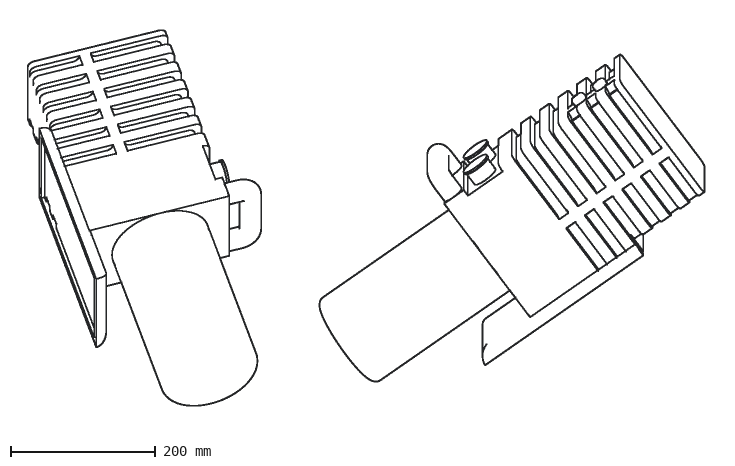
import cadquery as cq

overall_length = 540.0

flange_length = 270.0
flange_height = 160.0
flange_thickness = 20.0
flange_start = 119.5
pocket_depth = 5.0

body_length = 300.0
body_depth = 200.0
body_height = 140.0
body_front = flange_thickness
body_back = body_front + body_depth
body_top = body_height / 2
body_mid_y = body_front + body_depth / 2

skin = (flange_height - body_height) / 2
core_top = body_top - skin
core_back = body_back - skin

slot_count = 6
slot_start = 9.5
slot_width = 15.5
slot_pitch = 32.0
spine_mid_y = 100.0
spine_width = 16.0

panel_mid_x = slot_start + slot_pitch + slot_width / 2
panel_length = 88.0
panel_height = 21.5
panel_corner = skin
footing_margin = 1.0
knob_diameter = 20.0
knob_height = 9.5
knob_rounding = 5.0
knob_spacing = 35.5
knob_z = -33.0

recess_start = 207.5
recess_end = 267.0
socket_x = 237.5
socket_z = 35.0
socket_diameter = 36.0
socket_height = 20.0
cap_diameter = 40.0
cap_thickness = 3.0

handle_diameter = 30.0
handle_rise = 50.0
handle_inner_bend = 0.25

barrel_rounding = skin


def block(x_range, y_range, z_range):
    """Axis-aligned box between the given limits."""
    (x0, x1), (y0, y1), (z0, z1) = x_range, y_range, z_range
    return cq.Workplane("XY").box(x1 - x0, y1 - y0, z1 - z0, centered=False).translate((x0, y0, z0))


def back_cylinder(x, y, z, diameter, height):
    """Cylinder standing on the plane at y and pointing toward +Y."""
    return cq.Workplane("XZ", origin=(x, y, z)).circle(diameter / 2).extrude(-height)


def make_flange():
    """Plate with its long back edges and its +X end rounded over the full thickness."""
    edge = flange_height / 2
    flange_end = flange_start + flange_length
    r = flange_thickness
    diagonal = r * 0.5 ** 0.5
    cross_section = (
        cq.Workplane("YZ", origin=(flange_start, 0, 0))
        .moveTo(0, -edge)
        .lineTo(0, edge)
        .threePointArc((diagonal, edge - r + diagonal), (r, edge - r))
        .lineTo(r, r - edge)
        .threePointArc((diagonal, r - diagonal - edge), (0, -edge))
        .close()
        .extrude(flange_length)
    )
    long_section = (
        cq.Workplane("XY", origin=(0, 0, -edge))
        .moveTo(flange_start, 0)
        .lineTo(flange_end, 0)
        .threePointArc((flange_end - r + diagonal, diagonal), (flange_end - r, r))
        .lineTo(flange_start, r)
        .close()
        .extrude(flange_height)
    )
    return cross_section.intersect(long_section)


def make_housing():
    """Box rounded along X, with a square-cornered handle block and a square front behind the flange."""
    z_range = (-body_top, body_top)
    housing = block((0, body_length), (body_front, body_back), z_range).edges("|X").fillet(skin)
    handle_block = block((recess_end, body_length), (body_mid_y, body_back), z_range)
    square_front = block((flange_start, body_length), (0, body_mid_y), z_range)
    recess = block((recess_start, recess_end), (core_back, body_back), z_range)
    return housing.union(handle_block).union(square_front).cut(recess)


def make_spine(side):
    """Uncut strip between the slot rows on one side (+1 top, -1 bottom), flaring into the slot floors."""
    half = spine_width / 2
    sag = skin * (1 - 0.5 ** 0.5)
    floor = side * core_top
    top = side * body_top
    return (
        cq.Workplane("YZ")
        .moveTo(spine_mid_y - half - skin, floor)
        .threePointArc((spine_mid_y - half - sag, floor + side * sag), (spine_mid_y - half, top))
        .lineTo(spine_mid_y + half, top)
        .threePointArc((spine_mid_y + half + sag, floor + side * sag), (spine_mid_y + half + skin, floor))
        .close()
        .extrude(body_length)
    )


def make_panel():
    """Round-cornered panel that crosses the first slots and flares into their floors."""
    flare = 2 * (skin + footing_margin)
    panel_base = cq.Workplane("XZ", origin=(panel_mid_x, core_back, knob_z))
    footing = panel_base.rect(panel_length + flare, panel_height + flare).extrude(skin)
    pad = panel_base.rect(panel_length, panel_height).extrude(-2 * skin).edges("|Y").fillet(panel_corner)
    reach_x = panel_length / 2 + footing_margin
    reach_z = panel_height / 2 + footing_margin
    pad_outline = cq.selectors.BoxSelector(
        (panel_mid_x - reach_x, core_back - footing_margin, knob_z - reach_z),
        (panel_mid_x + reach_x, core_back + footing_margin, knob_z + reach_z),
    )
    return footing.union(pad).edges(pad_outline).fillet(skin)


def make_core():
    """Material inside the skin, which forms the floors of the slots."""
    z_range = (-core_top, core_top)
    core = block((0, body_length), (body_front, core_back), z_range).edges("|X").fillet(skin)
    square_front = block((flange_start, body_length), (0, body_mid_y), z_range)
    return core.union(square_front).union(make_spine(1)).union(make_spine(-1)).union(make_panel())


def make_slots():
    """Slots wrapping around the top, back and bottom of the core and breaking out at the front."""
    slots = cq.Workplane("XY")
    for i in range(slot_count):
        x = slot_start + i * slot_pitch
        slots = slots.union(block((x, x + slot_width), (0, body_back), (-body_top, body_top)))
    return slots.cut(make_core())


def make_knob(side):
    """Round-topped knob on the control panel, on its left (-1) or right (+1)."""
    knob_x = panel_mid_x + side * knob_spacing / 2
    knob = back_cylinder(knob_x, body_back, knob_z, knob_diameter, knob_height)
    return knob.faces(">Y").edges().fillet(knob_rounding)


def make_socket(z):
    """Round socket with a wider cap, standing in the recess."""
    socket = back_cylinder(socket_x, core_back, z, socket_diameter, socket_height)
    cap = back_cylinder(socket_x, core_back + socket_height, z, cap_diameter, cap_thickness)
    return socket.union(cap)


def make_handle():
    """Round bar bent into a U, with a nearly sharp inside to its elbows."""
    r = handle_diameter / 2
    bend_radius = r + handle_inner_bend
    handle_x = body_length - r
    leg_length = handle_rise - handle_diameter - handle_inner_bend
    leg_end = body_back + leg_length
    leg_z = body_top - r
    grip_half = leg_z - bend_radius
    handle = (
        cq.Workplane("XY", origin=(handle_x, leg_end + bend_radius, -grip_half))
        .circle(r)
        .extrude(2 * grip_half)
    )
    for side in (-1, 1):
        leg = back_cylinder(handle_x, body_back, side * leg_z, handle_diameter, leg_length)
        elbow = (
            cq.Workplane("XZ", origin=(handle_x, leg_end, side * leg_z))
            .circle(r)
            .revolve(90, (side * r, -side * bend_radius, 0), (-side * r, -side * bend_radius, 0))
        )
        handle = handle.union(leg).union(elbow)
    return handle


def make_barrel():
    """Cylinder on the housing axis with a rounded free end."""
    barrel = (
        cq.Workplane("YZ", origin=(body_length, body_mid_y, 0))
        .circle(body_height / 2)
        .extrude(overall_length - body_length)
    )
    return barrel.faces(">X").edges().fillet(barrel_rounding)


pocket = block(
    (flange_start + skin, flange_start + flange_length - skin),
    (0, pocket_depth),
    (-body_top, body_top),
)

result = make_housing().union(make_flange()).cut(make_slots()).cut(pocket)
result = result.union(make_handle()).union(make_barrel())
for side in (-1, 1):
    result = result.union(make_knob(side)).union(make_socket(side * socket_z))